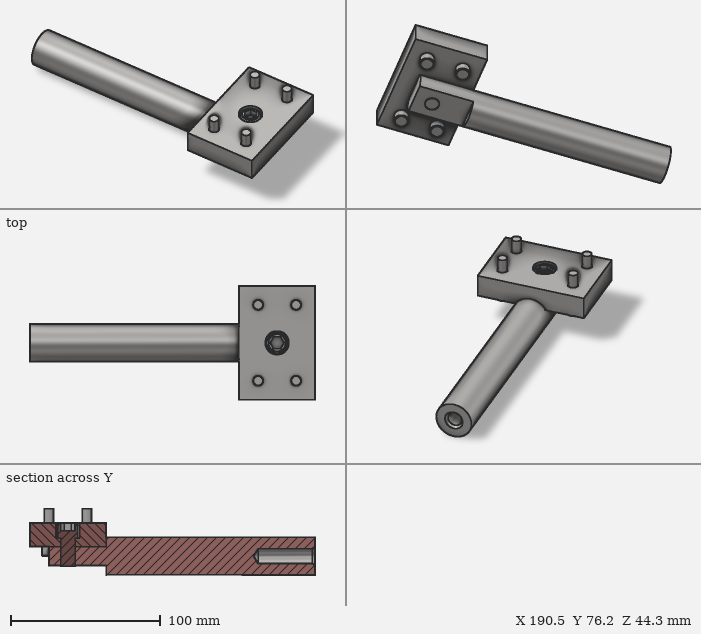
import cadquery as cq
import math

total_length = 190.5

rod_dia = 25.3
rod_length = 177.7
rod_axis_z = rod_dia / 2
tongue_length = 38.1
tongue_bottom_z = rod_dia / 4
tongue_top_z = 3 * rod_dia / 4

bore_dia = 9.7
bore_depth = 38.1
bore_mouth_dia = 12.8
bore_mouth_depth = 2.0
drill_tip_angle = 118.0

plate_width = 76.2
plate_thickness = 15.8
plate_x0 = rod_length - tongue_length
plate_length = total_length - plate_x0
plate_center_x = (plate_x0 + total_length) / 2
plate_top_z = tongue_top_z + plate_thickness

bolt_dia = 6.3
bolt_hole_dia = 6.9
bolt_length = 25.3
bolt_head_dia = 9.5
bolt_head_height = 6.3
bolt_head_chamfer = 0.5
bolt_pitch_x = 25.3
bolt_pitch_y = 2 * bolt_pitch_x

screw_dia = 9.5
screw_head_dia = 13.7
screw_head_height = 9.5
screw_head_chamfer = 1.1
screw_socket_flats = 8.0
screw_socket_depth = 4.8
screw_tip_projection = 0.5
screw_tip_z = tongue_bottom_z - screw_tip_projection
counterbore_dia = 15.8
counterbore_depth = 10.0
screw_seat_z = plate_top_z - counterbore_depth


def cylinder(x, y, z, dia, height):
    """Upright cylinder whose bottom face is centred at (x, y, z)."""
    return cq.Workplane("XY", origin=(x, y, z)).circle(dia / 2).extrude(height)


def hex_prism(x, y, z, flats, height):
    """Upright hexagonal prism, sized across its flats, with its bottom face centred at (x, y, z)."""
    corners = 2 * flats / math.sqrt(3)
    return cq.Workplane("XY", origin=(x, y, z)).polygon(6, corners).extrude(height)


def block(x0, z0, length, width, height):
    """Box that starts at x0 and z0 and is centred on Y = 0."""
    return cq.Workplane("XY", origin=(x0, 0, z0)).box(
        length, width, height, centered=(False, True, False)
    )


def make_rod():
    rod = cq.Workplane("YZ", origin=(0, 0, rod_axis_z)).circle(rod_dia / 2).extrude(rod_length)

    rod = rod.cut(block(plate_x0, 0, tongue_length, rod_dia, tongue_bottom_z))
    rod = rod.cut(block(plate_x0, tongue_top_z, tongue_length, rod_dia, rod_dia - tongue_top_z))

    drill_tip_height = bore_dia / 2 / math.tan(math.radians(drill_tip_angle / 2))
    bore = (
        cq.Workplane("XZ", origin=(0, 0, rod_axis_z))
        .moveTo(0, 0)
        .lineTo(0, bore_mouth_dia / 2)
        .lineTo(bore_mouth_depth, bore_dia / 2)
        .lineTo(bore_depth, bore_dia / 2)
        .lineTo(bore_depth + drill_tip_height, 0)
        .close()
        .revolve(360, (0, 0, 0), (1, 0, 0))
    )
    rod = rod.cut(bore)

    return rod.cut(cylinder(plate_center_x, 0, 0, screw_dia, rod_dia))


def bolt_centers():
    return [
        (plate_center_x + side_x * bolt_pitch_x / 2, side_y * bolt_pitch_y / 2)
        for side_x in (-1, 1)
        for side_y in (-1, 1)
    ]


def make_plate():
    plate = block(plate_x0, tongue_top_z, plate_length, plate_width, plate_thickness)
    for x, y in bolt_centers():
        plate = plate.cut(cylinder(x, y, tongue_top_z, bolt_hole_dia, plate_thickness))
    plate = plate.cut(cylinder(plate_center_x, 0, tongue_top_z, screw_dia, plate_thickness))
    return plate.cut(cylinder(plate_center_x, 0, screw_seat_z, counterbore_dia, counterbore_depth))


def make_bolt(x, y):
    head_z = tongue_top_z - bolt_head_height
    head = cylinder(x, y, head_z, bolt_head_dia, bolt_head_height).faces("<Z").chamfer(bolt_head_chamfer)
    return head.union(cylinder(x, y, tongue_top_z, bolt_dia, bolt_length))


def make_clamp_screw():
    head = cylinder(plate_center_x, 0, screw_seat_z, screw_head_dia, screw_head_height)
    head = head.faces(">Z").chamfer(screw_head_chamfer)
    socket_z = screw_seat_z + screw_head_height - screw_socket_depth
    socket = hex_prism(plate_center_x, 0, socket_z, screw_socket_flats, screw_socket_depth)
    shank = cylinder(plate_center_x, 0, screw_tip_z, screw_dia, screw_seat_z - screw_tip_z)
    return head.union(shank).cut(socket)


rod = make_rod()
plate = make_plate()
clamp_screw = make_clamp_screw()
bolts = [make_bolt(x, y) for x, y in bolt_centers()]

result = cq.Compound.makeCompound(
    [rod.val(), plate.val(), clamp_screw.val(), *[bolt.val() for bolt in bolts]]
)